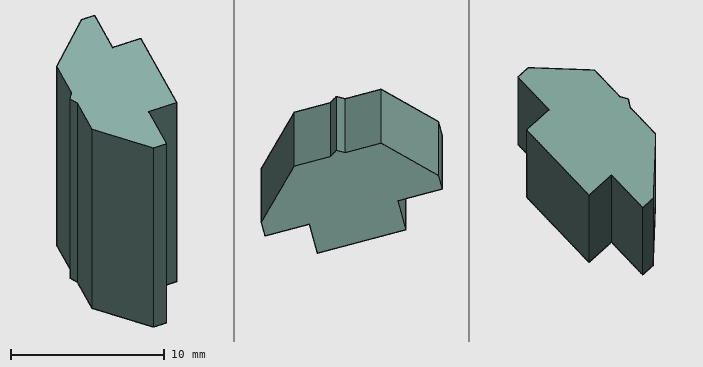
import cadquery as cq

length = 18.0
flange_width = 12.0
neck_width = 6.0
neck_height = 2.0
body_depth = 6.0
chamfer = 3.06
ridge_width = 1.0
ridge_height = 0.3

half_flange = flange_width / 2
half_neck = neck_width / 2
half_front = half_flange - chamfer
half_ridge = ridge_width / 2

shoulder_y = body_depth - neck_height

right_half = [
    (half_ridge, 0),
    (half_front, 0),
    (half_flange, chamfer),
    (half_flange, shoulder_y),
    (half_neck, shoulder_y),
    (half_neck, body_depth),
]
left_half = [(-x, y) for x, y in reversed(right_half)]
ridge_tip = (0, -ridge_height)

result = cq.Workplane("XY").polyline([ridge_tip] + right_half + left_half).close().extrude(length)